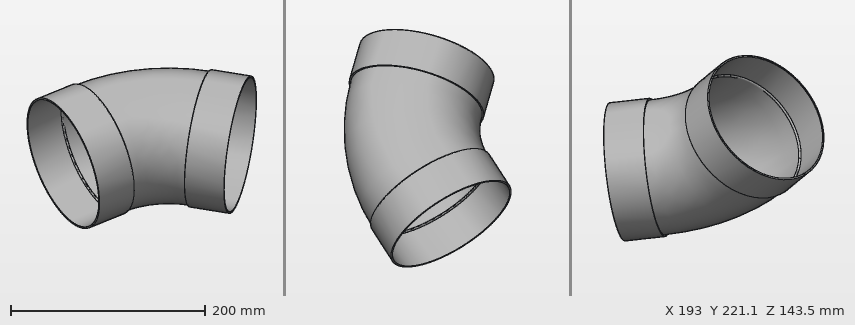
import cadquery as cq
import math

bend_angle = 45.0
wall = 1.8
body_diameter = 140.0
collar_diameter = 143.5
collar_length = 41.8

bend_radius = body_diameter
body_radius = body_diameter / 2
bore_radius = body_radius - wall
collar_radius = collar_diameter / 2
socket_radius = collar_radius - wall

angle = math.radians(bend_angle)
start_point = cq.Vector(0, 0, 0)
start_outward = cq.Vector(0, -1, 0)
end_point = cq.Vector(bend_radius * (1 - math.cos(angle)), bend_radius * math.sin(angle), 0)
end_outward = cq.Vector(math.sin(angle), math.cos(angle), 0)


def bent_rod(radius):
    """Solid round bar following the bend."""
    return (
        cq.Workplane("XZ")
        .circle(radius)
        .revolve(bend_angle, (bend_radius, 2.2, 0), (bend_radius, 0, 0))
    )


def profile_plane(point, outward):
    """Plane at a bend end: local X is radial, local Y runs outward along the pipe axis."""
    radial = cq.Vector(0, 0, 1)
    return cq.Workplane(cq.Plane(origin=point, xDir=radial, normal=radial.cross(outward)))


def revolve_about_pipe(profile):
    return profile.revolve(360, (0, 0, 0), (0, 1, 0))


def collar(point, outward):
    """Solid cylinder for the enlarged pipe end."""
    profile = profile_plane(point, outward).moveTo(0, 0).lineTo(collar_radius, 0)
    profile = profile.lineTo(collar_radius, collar_length).lineTo(0, collar_length).close()
    return revolve_about_pipe(profile)


def socket(point, outward):
    """Collar cavity whose rounded shoulder keeps the wall thickness around the step."""
    round_middle = wall * math.sqrt(0.5)
    profile = profile_plane(point, outward).moveTo(0, 0).lineTo(bore_radius, 0)
    profile = profile.threePointArc((body_radius - round_middle, round_middle), (socket_radius, wall))
    profile = profile.lineTo(socket_radius, collar_length).lineTo(0, collar_length).close()
    return revolve_about_pipe(profile)


outer = bent_rod(body_radius)
cavity = bent_rod(bore_radius)
for point, outward in ((start_point, start_outward), (end_point, end_outward)):
    outer = outer.union(collar(point, outward))
    cavity = cavity.union(socket(point, outward))

result = outer.cut(cavity)